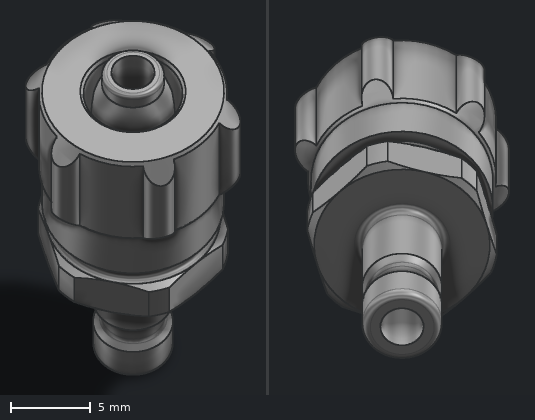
import cadquery as cq
import math

bore_radius = 2.7 / 2
shaft_radius = 5.0 / 2
shaft_end_fillet = 0.5
shaft_root_fillet = 0.5

groove_radius = 4.0 / 2
groove_bottom_z = 2.6
groove_top_z = 4.75
groove_fillet = 0.4

hex_bottom_z = 10.0
hex_height = 3.0
hex_sides = 6
hex_across_flats = 11.0
hex_corner_diameter = 12.0
hex_chamfer_angle = 30.0

neck_radius = 10.0 / 2
neck_fillet = 0.4

sleeve_bottom_z = 14.3
sleeve_radius = 11.4 / 2
grip_bottom_z = 17.8
nut_top_z = 25.3
grip_radius = 11.8 / 2
rib_radius = 1.0
rib_count = 6
rib_first_angle = 30.0

opening_radius = 6.2 / 2
opening_chamfer = 0.2
opening_floor_z = 21.0

nipple_top_z = 27.2
nipple_tip_radius = 3.9 / 2
nipple_tip_bottom_z = 26.1
nipple_base_radius = 5.2 / 2
nipple_shoulder_z = 23.7
nipple_tip_fillet = 0.3

hex_top_z = hex_bottom_z + hex_height
rib_tip_radius = grip_radius + rib_radius


def revolve_profile(points):
    """Solid of revolution about Z from (radius, z) points."""
    return cq.Workplane("XZ").polyline(points).close().revolve(360, (0, 0, 0), (0, 1, 0))


def cylinder(radius, bottom_z, top_z):
    return cq.Workplane("XY").workplane(offset=bottom_z).circle(radius).extrude(top_z - bottom_z)


def root_flare(radius, fillet, joint_z, direction):
    """Concave ring that blends a cylinder into a flat face; direction +1 rises from the face."""
    away_z = joint_z + direction * fillet
    arc_offset = fillet * (1 - math.sqrt(0.5))
    return (
        cq.Workplane("XZ")
        .moveTo(0, joint_z)
        .lineTo(radius + fillet, joint_z)
        .threePointArc(
            (radius + arc_offset, joint_z + direction * arc_offset),
            (radius, away_z),
        )
        .lineTo(0, away_z)
        .close()
        .revolve(360, (0, 0, 0), (0, 1, 0))
    )


def make_shaft():
    shaft = cylinder(shaft_radius, 0, hex_bottom_z).faces("<Z").edges().fillet(shaft_end_fillet)
    groove_depth = shaft_radius - groove_radius
    groove = revolve_profile([
        (shaft_radius, groove_bottom_z),
        (groove_radius, groove_bottom_z + groove_depth),
        (groove_radius, groove_top_z - groove_depth),
        (shaft_radius, groove_top_z),
    ])
    groove_floor_edges = cq.selectors.RadiusNthSelector(0)
    groove = groove.edges(groove_floor_edges).fillet(groove_fillet)
    flare = root_flare(shaft_radius, shaft_root_fillet, hex_bottom_z, -1)
    return shaft.cut(groove).union(flare)


def make_hex_collar():
    """Hexagon with two flats facing X, trimmed by a cylinder with chamfered ends."""
    flat_radius = hex_across_flats / 2
    corner_radius = hex_corner_diameter / 2
    chamfer_height = (corner_radius - flat_radius) * math.tan(math.radians(hex_chamfer_angle))
    hexagon = (
        cq.Workplane("XY")
        .workplane(offset=hex_bottom_z)
        .polygon(hex_sides, hex_across_flats, circumscribed=True)
        .extrude(hex_height)
    )
    envelope = revolve_profile([
        (0, hex_bottom_z),
        (flat_radius, hex_bottom_z),
        (corner_radius, hex_bottom_z + chamfer_height),
        (corner_radius, hex_top_z - chamfer_height),
        (flat_radius, hex_top_z),
        (0, hex_top_z),
    ])
    return hexagon.intersect(envelope)


def make_neck():
    neck = cylinder(neck_radius, hex_top_z, sleeve_bottom_z)
    return neck.union(root_flare(neck_radius, neck_fillet, hex_top_z, 1))


def make_nut():
    grip = cylinder(grip_radius, grip_bottom_z, nut_top_z)
    for index in range(rib_count):
        angle = math.radians(rib_first_angle + index * 360 / rib_count)
        center = (grip_radius * math.cos(angle), grip_radius * math.sin(angle), 0)
        grip = grip.union(cylinder(rib_radius, grip_bottom_z, nut_top_z).translate(center))

    bevel = rib_tip_radius - sleeve_radius
    envelope = cylinder(rib_tip_radius, grip_bottom_z, nut_top_z).faces("<Z or >Z").edges().chamfer(bevel)
    sleeve = cylinder(sleeve_radius, sleeve_bottom_z, grip_bottom_z)
    opening = revolve_profile([
        (0, opening_floor_z),
        (opening_radius, opening_floor_z),
        (opening_radius, nut_top_z - opening_chamfer),
        (opening_radius + opening_chamfer, nut_top_z),
        (0, nut_top_z),
    ])
    return grip.intersect(envelope).union(sleeve).cut(opening)


def make_nipple():
    """Hose nipple whose flank is an arc running smoothly into its cylindrical base."""
    flank_height = nipple_tip_bottom_z - nipple_shoulder_z
    flank_spread = nipple_base_radius - nipple_tip_radius
    flank_arc_radius = (flank_height**2 + flank_spread**2) / (2 * flank_spread)
    half_turn = math.atan(flank_spread / flank_height)
    flank_middle = (
        nipple_base_radius - flank_arc_radius * (1 - math.cos(half_turn)),
        nipple_shoulder_z + flank_arc_radius * math.sin(half_turn),
    )
    nipple = (
        cq.Workplane("XZ")
        .moveTo(0, opening_floor_z)
        .lineTo(nipple_base_radius, opening_floor_z)
        .lineTo(nipple_base_radius, nipple_shoulder_z)
        .threePointArc(flank_middle, (nipple_tip_radius, nipple_tip_bottom_z))
        .lineTo(nipple_tip_radius, nipple_top_z)
        .lineTo(0, nipple_top_z)
        .close()
        .revolve(360, (0, 0, 0), (0, 1, 0))
    )
    return nipple.faces(">Z").edges().fillet(nipple_tip_fillet)


body = make_shaft().union(make_hex_collar()).union(make_neck()).union(make_nut()).union(make_nipple())
result = body.cut(cylinder(bore_radius, 0, nipple_top_z))